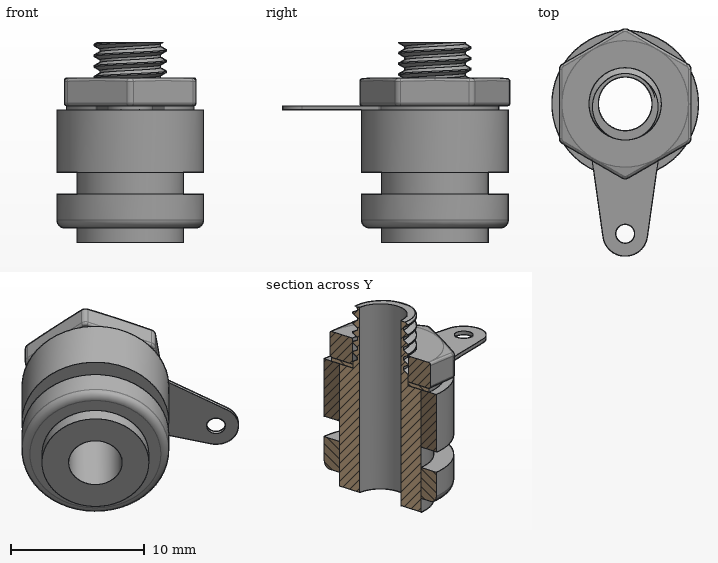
import cadquery as cq
import math

total_height = 15.0
lower_collar_bottom = 1.1
lower_collar_top = 3.65
upper_collar_bottom = 5.26
shoulder_height = 9.95
tag_thickness = 0.3
nut_height = 2.1
nut_bottom = shoulder_height + tag_thickness
nut_top = nut_bottom + nut_height

barrel_diameter = 8.0
stud_diameter = 5.42
bore_diameter = 4.0
thread_pitch = 0.8
thread_half_angle = math.radians(30)
thread_depth = 5 / 8 * math.cos(thread_half_angle) * thread_pitch
thread_lead_in = 0.55
thread_start = nut_bottom + thread_lead_in
thread_turns = math.ceil((total_height - thread_start) / thread_pitch) + 1
cutter_overlap = 0.02

collar_diameter = 11.0
collar_fillet = 0.6

washer_radius = 4.79
tongue_end_radius = 1.69
tongue_end_distance = 9.72
tongue_taper = 8.0
tongue_root_fillet = 0.2
tag_hole_diameter = 1.4

nut_across_flats = 9.86
nut_corner_fillet = 0.48
nut_edge_fillet = 0.2
nut_face_radius = 4.73
nut_cone_angle = 5.0


def cylinder(diameter, bottom, top):
    return cq.Workplane("XY").workplane(offset=bottom).circle(diameter / 2).extrude(top - bottom)


def make_thread_groove():
    """Cutter for a right-hand 60 degree V-thread with a flat crest and a flat root."""
    root_radius = stud_diameter / 2 - thread_depth
    outer_radius = stud_diameter / 2 + cutter_overlap
    root_half_width = thread_pitch / 8
    outer_half_width = root_half_width + (outer_radius - root_radius) * math.tan(thread_half_angle)
    helix = cq.Wire.makeHelix(thread_pitch, thread_turns * thread_pitch, root_radius)
    groove = (
        cq.Workplane("XZ")
        .polyline([
            (root_radius, -root_half_width),
            (outer_radius, -outer_half_width),
            (outer_radius, outer_half_width),
            (root_radius, root_half_width),
        ])
        .close()
        .sweep(cq.Workplane(helix), isFrenet=True)
    )
    return groove.translate((0, 0, thread_start))


def make_barrel():
    """Stepped tube: a plain lower length and a threaded stud above the shoulder."""
    body = cylinder(barrel_diameter, 0, shoulder_height)
    stud = cylinder(stud_diameter, shoulder_height, total_height)
    bore = cylinder(bore_diameter, 0, total_height)
    return body.union(stud.cut(make_thread_groove())).cut(bore)


def make_collar(bottom, top, lower_fillet=None):
    """Ring around the barrel, with its lower outer edge rounded when a fillet radius is given."""
    collar = cylinder(collar_diameter, bottom, top)
    if lower_fillet:
        collar = collar.faces("<Z").edges().fillet(lower_fillet)
    return collar.cut(cylinder(barrel_diameter, bottom, top))


def make_tag():
    """Washer with a tapered, round-ended tongue toward -Y."""
    taper = math.radians(tongue_taper)
    root_half_width = tongue_end_radius / math.cos(taper) + tongue_end_distance * math.tan(taper)
    tangent_x = tongue_end_radius * math.cos(taper)
    tangent_y = -tongue_end_distance - tongue_end_radius * math.sin(taper)
    plane = cq.Workplane("XY").workplane(offset=shoulder_height)
    tongue = (
        plane.moveTo(-root_half_width, 0)
        .lineTo(-tangent_x, tangent_y)
        .threePointArc((0, -tongue_end_distance - tongue_end_radius), (tangent_x, tangent_y))
        .lineTo(root_half_width, 0)
        .close()
        .extrude(tag_thickness)
    )
    washer = cylinder(2 * washer_radius, shoulder_height, nut_bottom)
    root_corners = cq.selectors.BoxSelector(
        (-washer_radius, -washer_radius, shoulder_height),
        (washer_radius, -washer_radius / 2, nut_bottom),
    )
    tag = washer.union(tongue).edges("|Z").edges(root_corners).fillet(tongue_root_fillet)
    tag_hole = cylinder(tag_hole_diameter, shoulder_height, nut_bottom)
    tag = tag.cut(tag_hole.translate((0, -tongue_end_distance, 0)))
    return tag.cut(cylinder(stud_diameter, shoulder_height, nut_bottom))


def make_nut():
    """Hexagon nut with corners on the Y axis and a shallow cone around its top face."""
    across_corners = nut_across_flats / math.cos(math.radians(30))
    hexagon = (
        cq.Workplane("XY")
        .workplane(offset=nut_bottom)
        .transformed(rotate=(0, 0, 90))
        .polygon(6, across_corners)
        .extrude(nut_height)
        .edges("|Z")
        .fillet(nut_corner_fillet)
    )
    rim_radius = across_corners / 2
    rim_drop = (rim_radius - nut_face_radius) * math.tan(math.radians(nut_cone_angle))
    cone_envelope = (
        cq.Workplane("XZ")
        .polyline([
            (0, nut_bottom),
            (rim_radius, nut_bottom),
            (rim_radius, nut_top - rim_drop),
            (nut_face_radius, nut_top),
            (0, nut_top),
        ])
        .close()
        .revolve(360, (0, 0, 0), (0, 1, 0))
    )
    nut = hexagon.intersect(cone_envelope)
    nut = nut.faces("<Z").edges().fillet(nut_edge_fillet)
    cone_edges = nut.faces("%CONE").edges("not %CIRCLE")
    nut = nut.newObject(cone_edges.vals()).fillet(nut_edge_fillet)
    return nut.cut(cylinder(stud_diameter, nut_bottom, nut_top))


barrel = make_barrel()
lower_collar = make_collar(lower_collar_bottom, lower_collar_top, collar_fillet)
upper_collar = make_collar(upper_collar_bottom, shoulder_height)
tag = make_tag()
nut = make_nut()

result = cq.Compound.makeCompound([
    barrel.solids().val(),
    lower_collar.solids().val(),
    upper_collar.solids().val(),
    tag.solids().val(),
    nut.solids().val(),
])